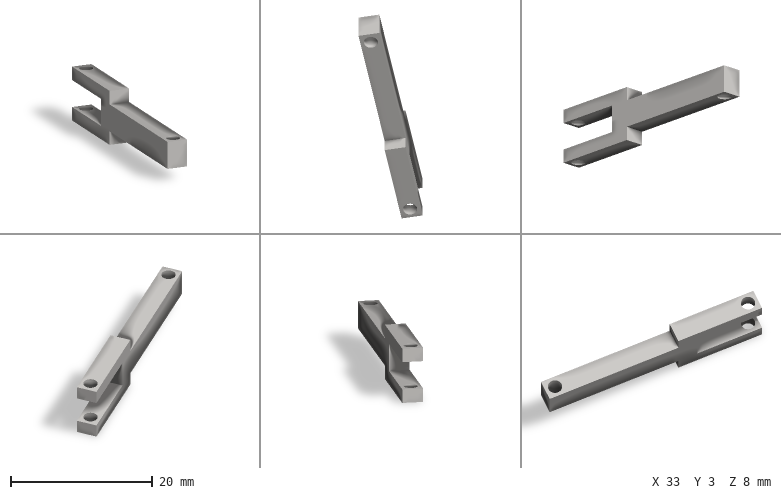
import cadquery as cq

total_length = 33.0
width = 3.0
fork_height = 8.0
fork_length = 13.0
slot_depth = 10.0
pin_diameter = 2.0

shank_height = fork_height / 2
slot_height = shank_height

pin_offset = total_length / 2 - width / 2
fork_end = -total_length / 2


def bar(length, height):
    """Full-width bar starting at the fork end, centred in Y and Z."""
    block = cq.Workplane("XY").box(length, width, height, centered=(False, True, True))
    return block.translate((fork_end, 0, 0))


def pin_holes():
    """Vertical cylinders through both prongs and through the shank end."""
    return (
        cq.Workplane("XY")
        .pushPoints([(-pin_offset, 0), (pin_offset, 0)])
        .circle(pin_diameter / 2)
        .extrude(fork_height / 2, both=True)
    )


shank = bar(total_length, shank_height)
fork = bar(fork_length, fork_height)
slot = bar(slot_depth, slot_height)

result = shank.union(fork).cut(slot).cut(pin_holes())